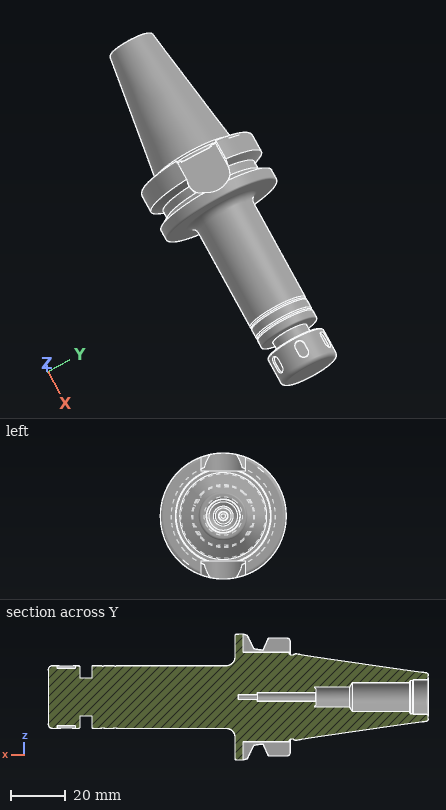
import cadquery as cq

total_length = 138.4

taper_length = 48.5
gauge_diameter = 31.7
taper_ratio = 7 / 24
shank_end_diameter = gauge_diameter - taper_ratio * taper_length
shank_end_fillet = 1.0

relief_diameter = 30.7
relief_chamfer = 0.8
relief_root_fillet = 0.8

flange_start = 50.2
flange_end = 70.5
flange_diameter = 46.0
flange_front_fillet = 1.2
flange_rear_fillet = 0.7
face_recess_diameter = 34.9
face_recess_depth = 0.4
face_recess_slope = 0.3
groove_diameter = 37.9
groove_start = 58.3
groove_floor_start = 60.2
groove_floor_end = 63.5
groove_end = 65.9

key_width = 16.2
key_floor = 16.3
key_end = 67.4

body_diameter = 23.0
body_end = 122.5
body_end_fillet = 0.5
body_root_fillet = 3.0
ring_starts = (113.3, 117.9)
ring_width = 1.2
ring_depth = 0.21

collet_diameter = 14.0
nut_start = 126.8
nut_diameter = 23.0
nut_rear_chamfer = 0.4
nut_front_fillet = 1.7

spanner_slot_count = 6
spanner_slot_length = 6.5
spanner_slot_width = 3.7
spanner_slot_center = 131.8
spanner_slot_depth = 1.0

mouth_diameter = 14.0
pilot_diameter = 12.5
mouth_fillet = (mouth_diameter - pilot_diameter) / 2
pilot_depth = 5.4
pilot_step_depth = 0.3
relief_bore_diameter = 12.0
relief_bore_depth = 6.5
thread_diameter = 10.4
thread_chamfer_depth = 0.4
thread_depth = 27.7
drill_diameter = 7.2
drill_cone_depth = 1.0
drill_depth = 41.5

stop_diameter = 5.8
coolant_mouth_diameter = 3.5
coolant_diameter = 3.0
coolant_chamfer_depth = 0.3
coolant_depth = 62.3
tip_diameter = 1.7
tip_depth = 69.2


def make_body():
    """Revolve the outside profile, given as (x, radius), about the X axis."""
    flange_radius = flange_diameter / 2
    groove_radius = groove_diameter / 2
    body_radius = body_diameter / 2
    relief_radius = relief_diameter / 2
    recess_floor = flange_start + face_recess_depth
    collet_radius = collet_diameter / 2
    nut_radius = nut_diameter / 2

    profile = (
        cq.Workplane("XY")
        .moveTo(0, 0)
        .lineTo(0, shank_end_diameter / 2)
        .lineTo(taper_length, gauge_diameter / 2)
        .lineTo(taper_length + relief_chamfer, relief_radius)
        .lineTo(recess_floor - relief_root_fillet, relief_radius)
        .radiusArc((recess_floor, relief_radius + relief_root_fillet), -relief_root_fillet)
        .lineTo(recess_floor, face_recess_diameter / 2 - face_recess_slope)
        .lineTo(flange_start, face_recess_diameter / 2)
        .lineTo(flange_start, flange_radius - flange_front_fillet)
        .radiusArc((flange_start + flange_front_fillet, flange_radius), flange_front_fillet)
        .lineTo(groove_start, flange_radius)
        .lineTo(groove_floor_start, groove_radius)
        .lineTo(groove_floor_end, groove_radius)
        .lineTo(groove_end, flange_radius)
        .lineTo(flange_end - flange_rear_fillet, flange_radius)
        .radiusArc((flange_end, flange_radius - flange_rear_fillet), flange_rear_fillet)
        .lineTo(flange_end, body_radius + body_root_fillet)
        .radiusArc((flange_end + body_root_fillet, body_radius), -body_root_fillet)
    )
    for ring_start in ring_starts:
        profile = (
            profile.lineTo(ring_start, body_radius)
            .lineTo(ring_start + ring_width / 2, body_radius - ring_depth)
            .lineTo(ring_start + ring_width, body_radius)
        )
    profile = (
        profile.lineTo(body_end - body_end_fillet, body_radius)
        .radiusArc((body_end, body_radius - body_end_fillet), body_end_fillet)
        .lineTo(body_end, collet_radius)
        .lineTo(nut_start, collet_radius)
        .lineTo(nut_start, nut_radius - nut_rear_chamfer)
        .lineTo(nut_start + nut_rear_chamfer, nut_radius)
        .lineTo(total_length - nut_front_fillet, nut_radius)
        .radiusArc((total_length, nut_radius - nut_front_fillet), nut_front_fillet)
        .lineTo(total_length, 0)
        .close()
    )
    body = profile.revolve(360, (0, 0, 0), (1, 0, 0))
    return body.faces("<X").edges().fillet(shank_end_fillet)


def make_bore():
    """Stepped blind bore opening at the shank end."""
    stop_height = (drill_diameter - stop_diameter) / 2
    steps = [
        (pilot_depth, pilot_diameter / 2),
        (pilot_depth + pilot_step_depth, relief_bore_diameter / 2),
        (relief_bore_depth, relief_bore_diameter / 2),
        (relief_bore_depth + thread_chamfer_depth, thread_diameter / 2),
        (thread_depth, thread_diameter / 2),
        (thread_depth + drill_cone_depth, drill_diameter / 2),
        (drill_depth, drill_diameter / 2),
        (drill_depth - stop_height, stop_diameter / 2),
        (drill_depth - stop_height, coolant_mouth_diameter / 2),
        (drill_depth - stop_height + coolant_chamfer_depth, coolant_diameter / 2),
        (coolant_depth, coolant_diameter / 2),
        (coolant_depth, tip_diameter / 2),
        (tip_depth, tip_diameter / 2),
        (tip_depth, 0),
    ]
    bore = (
        cq.Workplane("XY")
        .moveTo(0, 0)
        .lineTo(0, mouth_diameter / 2)
        .radiusArc((mouth_fillet, pilot_diameter / 2), -mouth_fillet)
    )
    for x, radius in steps:
        bore = bore.lineTo(x, radius)
    return bore.close().revolve(360, (0, 0, 0), (1, 0, 0))


def make_key_slot():
    """Upper key slot: flat floor, round inner end, open toward the shank."""
    key_radius = key_width / 2
    round_center = key_end - key_radius
    return (
        cq.Workplane("XY", origin=(0, 0, key_floor))
        .moveTo(flange_start, -key_radius)
        .lineTo(round_center, -key_radius)
        .threePointArc((key_end, 0), (round_center, key_radius))
        .lineTo(flange_start, key_radius)
        .close()
        .extrude(flange_diameter / 2)
    )


def make_spanner_slot():
    """Upper spanner slot: flat floor, rounded ends, along the axis."""
    return (
        cq.Workplane("XY", origin=(spanner_slot_center, 0, nut_diameter / 2 - spanner_slot_depth))
        .slot2D(spanner_slot_length, spanner_slot_width)
        .extrude(nut_diameter / 2)
    )


def turned(shape, angle):
    """Turn a shape about the X axis."""
    return shape.rotate((0, 0, 0), (1, 0, 0), angle)


result = make_body().cut(make_bore())
for side in range(2):
    result = result.cut(turned(make_key_slot(), side * 180))
for slot in range(spanner_slot_count):
    result = result.cut(turned(make_spanner_slot(), slot * 360 / spanner_slot_count))